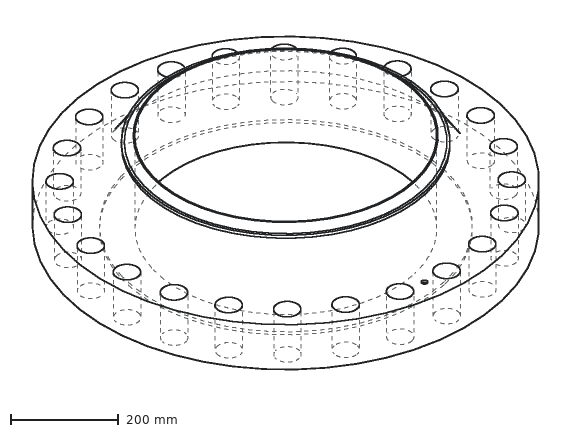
import cadquery as cq

flange_diameter = 940.0
flange_thickness = 101.5

face_diameter = 691.5
face_height = 7.0

hub_base_diameter = 716.0
hub_root_fillet = 3.0
neck_diameter = 610.0
neck_height = 7.0
bevel_height = 14.0
bevel_base_diameter = 598.5
rim_diameter = 566.0
bore_diameter = 560.0
total_height = 209.5

bolt_circle_diameter = 838.0
bolt_hole_diameter = 51.0
bolt_hole_count = 24

dimple_diameter = 12.0
dimple_floor_diameter = 6.0
dimple_depth = 3.0

flange_bottom = face_height
flange_top = flange_bottom + flange_thickness
bevel_bottom = total_height - bevel_height
neck_bottom = bevel_bottom - neck_height

bolt_pitch_angle = 360.0 / bolt_hole_count


def revolved_body():
    """Sealing face, plate, hub and neck turned around the bore in one piece."""
    body = (
        cq.Workplane("XZ")
        .moveTo(bore_diameter / 2, 0)
        .lineTo(face_diameter / 2, 0)
        .lineTo(face_diameter / 2, flange_bottom)
        .lineTo(flange_diameter / 2, flange_bottom)
        .lineTo(flange_diameter / 2, flange_top)
        .lineTo(hub_base_diameter / 2, flange_top)
        .lineTo(neck_diameter / 2, neck_bottom)
        .lineTo(neck_diameter / 2, bevel_bottom)
        .lineTo(bevel_base_diameter / 2, bevel_bottom)
        .lineTo(rim_diameter / 2, total_height)
        .lineTo(bore_diameter / 2, total_height)
        .close()
        .revolve(360, (0, 0, 0), (0, 1, 0))
    )
    reach = (hub_base_diameter + flange_diameter) / 4
    hub_root = cq.selectors.BoxSelector(
        (-reach, -reach, flange_top - hub_root_fillet),
        (reach, reach, flange_top + hub_root_fillet),
        boundingbox=True,
    )
    return body.edges(hub_root).fillet(hub_root_fillet)


def bolt_holes():
    """Cylinders for the full ring of bolt holes, the first one on +X."""
    return (
        cq.Workplane("XY")
        .workplane(offset=flange_bottom)
        .polarArray(bolt_circle_diameter / 2, 0, 360, bolt_hole_count)
        .circle(bolt_hole_diameter / 2)
        .extrude(flange_thickness)
    )


def dimple():
    """Tapered cutter with a flat floor, half a bolt pitch from +X."""
    profile = (
        cq.Workplane("XZ")
        .moveTo(0, flange_top)
        .lineTo(dimple_diameter / 2, flange_top)
        .lineTo(dimple_floor_diameter / 2, flange_top - dimple_depth)
        .lineTo(0, flange_top - dimple_depth)
        .close()
    )
    return (
        profile.revolve(360, (0, 0, 0), (0, 1, 0))
        .translate((bolt_circle_diameter / 2, 0, 0))
        .rotate((0, 0, 0), (0, 0, 1), bolt_pitch_angle / 2)
    )


result = revolved_body().cut(bolt_holes()).cut(dimple())